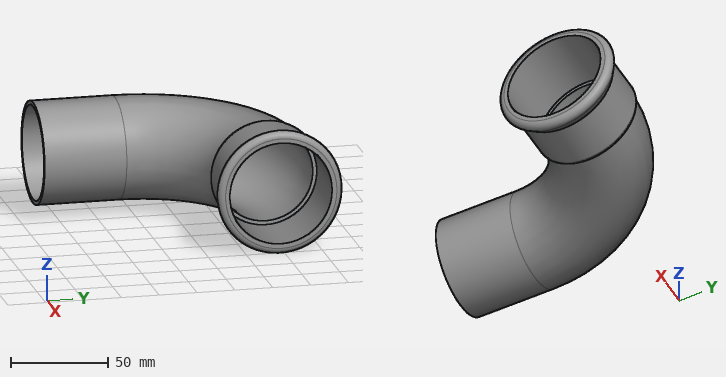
import cadquery as cq
import math

total_length_x = 127.0
total_length_y = 140.8
bead_diameter = 65.6

pipe_diameter = 54.1
wall = 2.1
bend_radius = 64.8

socket_diameter = 57.6
shoulder_step = 0.5
shoulder_length = 2.4
cylinder_length = 24.8
flare_length = 4.8
bead_round = 3.4

pipe_radius = pipe_diameter / 2
bore_radius = pipe_radius - wall
socket_radius = socket_diameter / 2
bead_radius = bead_diameter / 2
shoulder_radius = pipe_radius + shoulder_step

plain_end = -(total_length_y - bead_radius)
mouth = total_length_x - pipe_radius
bead_center_x = mouth - bead_round
bead_center_r = bead_radius - bead_round

shoulder_end = bend_radius
shoulder_start = shoulder_end - shoulder_length
flare_start = shoulder_end + cylinder_length
flare_end = flare_start + flare_length

flare_end_radius = bead_center_r + math.sqrt(bead_round**2 - (bead_center_x - flare_end) ** 2)

shoulder_rise = socket_radius - shoulder_radius
shoulder_round = (shoulder_length**2 + shoulder_rise**2) / (2 * shoulder_rise)


def elbow(radius):
    """Solid rod along the plain leg and the quarter bend."""
    path = (
        cq.Workplane("XY")
        .moveTo(0, plain_end)
        .lineTo(0, -bend_radius)
        .radiusArc((bend_radius, 0), bend_radius)
    )
    return cq.Workplane("XZ", origin=(0, plain_end, 0)).circle(radius).sweep(path)


def socket():
    """Solid of revolution about X: rounded shoulder, cylinder, flare and round lip."""
    profile = (
        cq.Workplane("XY")
        .moveTo(shoulder_start, 0)
        .lineTo(shoulder_start, shoulder_radius)
        .radiusArc((shoulder_end, socket_radius), shoulder_round)
        .lineTo(flare_start, socket_radius)
        .lineTo(flare_end, flare_end_radius)
        .threePointArc((bead_center_x, bead_radius), (mouth, bead_center_r))
        .lineTo(mouth, 0)
        .close()
    )
    return profile.revolve(360, (0, 0, 0), (1, 0, 0))


def socket_bore():
    """Bore that accepts a pipe of the same size, stopping at the end of the bend."""
    depth = mouth - shoulder_end
    return cq.Workplane("YZ", origin=(shoulder_end, 0, 0)).circle(pipe_radius).extrude(depth)


result = elbow(pipe_radius).union(socket()).cut(elbow(bore_radius)).cut(socket_bore())